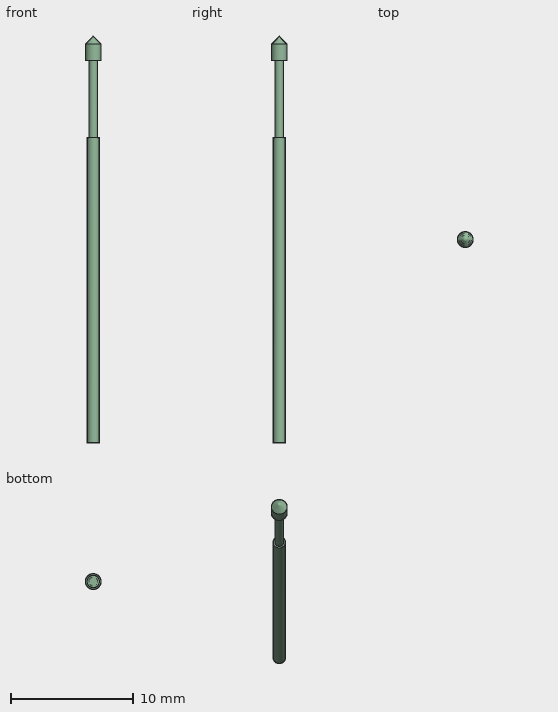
import cadquery as cq

total_length = 33.3
barrel_diameter = 1.01
barrel_length = 25.0
shaft_diameter = 0.72
head_diameter = 1.3
head_length = 2.0

head_radius = head_diameter / 2
tip_height = head_radius

shoulder_z = total_length - tip_height
head_base_z = total_length - head_length


def make_barrel():
    """Plain cylindrical barrel."""
    return cq.Workplane("XY").circle(barrel_diameter / 2).extrude(barrel_length)


def make_plunger():
    """Slim shaft standing on the barrel, with a wider pointed head."""
    shaft_radius = shaft_diameter / 2
    half_profile = (
        cq.Workplane("XZ")
        .moveTo(0, barrel_length)
        .lineTo(shaft_radius, barrel_length)
        .lineTo(shaft_radius, head_base_z)
        .lineTo(head_radius, head_base_z)
        .lineTo(head_radius, shoulder_z)
        .lineTo(0, total_length)
        .close()
    )
    return half_profile.revolve(360, (0, 0, 0), (0, 1, 0))


barrel = make_barrel()
plunger = make_plunger()

result = cq.Compound.makeCompound([barrel.val(), plunger.val()])